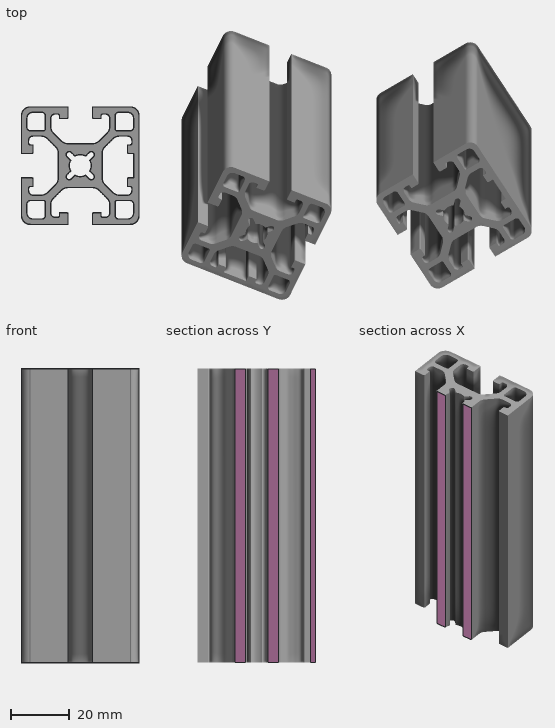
import cadquery as cq
import math

SIZE = 40.0
LENGTH = 100.0
HALF = SIZE / 2
CORNER_RADIUS = 3.0

MOUTH_HALF_WIDTH = 4.1
LIP_THICKNESS = 4.0
LIP_EDGE_RADIUS = 0.5
UNDERCUT_DEPTH = 2.5
UNDERCUT_HALF_WIDTH = 7.1
UNDERCUT_INNER_RADIUS = 0.5
UNDERCUT_OUTER_RADIUS = 1.4
CHANNEL_HALF_WIDTH = 10.0
CHANNEL_BEND_RADIUS = 3.0
CORE_HALF_WIDTH = 7.5
FLOOR_HALF_WIDTH = 5.5
CLOSED_WALL = 1.9

CHAMBER_WALL = 1.9
CHANNEL_WALL = 1.9
CHAMBER_OUTER_RADIUS = 2.0
CHAMBER_SIDE_RADIUS = 1.1
CHAMBER_INNER_RADIUS = 0.5

BORE_RADIUS = 3.7
GROOVE_WIDTH = 2.0
GROOVE_REACH = 4.75

OPEN_SLOT_ANGLES = (90, 180, 270)
CLOSED_SLOT_ANGLE = 0
CHAMBER_TURNS = (0, 90, 180, 270)
GROOVE_ANGLES = (45, 135)


def step_towards(start, end, distance):
    """Point at the given distance from start along the line to end."""
    ratio = distance / math.dist(start, end)
    return tuple(a + (b - a) * ratio for a, b in zip(start, end))


def rounded_prism(corners):
    """Full-length prism over a closed outline of (x, y, corner radius); radius 0 is sharp."""
    outline = None
    for index, (x, y, radius) in enumerate(corners):
        corner = (x, y)
        before = corners[index - 1][:2]
        after = corners[(index + 1) % len(corners)][:2]
        to_before = math.atan2(before[1] - y, before[0] - x)
        to_after = math.atan2(after[1] - y, after[0] - x)
        half_angle = abs(math.remainder(to_after - to_before, math.tau)) / 2
        tangent_length = radius / math.tan(half_angle)
        arc_start = step_towards(corner, before, tangent_length)
        arc_end = step_towards(corner, after, tangent_length)
        if outline is None:
            outline = cq.Workplane("XY").moveTo(*arc_start)
        else:
            outline = outline.lineTo(*arc_start)
        if radius > 0:
            chord_middle = tuple((a + b) / 2 for a, b in zip(arc_start, arc_end))
            arc_height = radius * (1 - math.sin(half_angle))
            arc_middle = step_towards(chord_middle, corner, arc_height)
            outline = outline.threePointArc(arc_middle, arc_end)
    return outline.close().extrude(LENGTH)


def slot_cutter(mouth_x):
    """T-slot opening towards +X, with its mouth ending at mouth_x."""
    lip_x = HALF - LIP_THICKNESS
    undercut_x = HALF - UNDERCUT_DEPTH
    bend_x = CORE_HALF_WIDTH + CHANNEL_HALF_WIDTH - FLOOR_HALF_WIDTH
    upper_half = [
        (mouth_x, MOUTH_HALF_WIDTH, 0),
        (lip_x, MOUTH_HALF_WIDTH, LIP_EDGE_RADIUS),
        (lip_x, UNDERCUT_HALF_WIDTH, 0),
        (undercut_x, UNDERCUT_HALF_WIDTH, UNDERCUT_INNER_RADIUS),
        (undercut_x, CHANNEL_HALF_WIDTH, UNDERCUT_OUTER_RADIUS),
        (bend_x, CHANNEL_HALF_WIDTH, CHANNEL_BEND_RADIUS),
        (CORE_HALF_WIDTH, FLOOR_HALF_WIDTH, CHANNEL_BEND_RADIUS),
    ]
    lower_half = [(x, -y, radius) for x, y, radius in reversed(upper_half)]
    return rounded_prism(upper_half + lower_half)


def chamber_cutter():
    """Hollow chamber of the +X +Y corner."""
    inner = CHANNEL_HALF_WIDTH + CHANNEL_WALL
    outer = HALF - CHAMBER_WALL
    return rounded_prism([
        (inner, inner, CHAMBER_INNER_RADIUS),
        (outer, inner, CHAMBER_SIDE_RADIUS),
        (outer, outer, CHAMBER_OUTER_RADIUS),
        (inner, outer, CHAMBER_SIDE_RADIUS),
    ])


def bore_cutter():
    """Round bore crossed by two round-ended diagonal grooves."""
    end_radius = GROOVE_WIDTH / 2
    end_centre_distance = math.sqrt(2) * (GROOVE_REACH - end_radius)
    groove_length = 2 * (end_centre_distance + end_radius)
    cutter = cq.Workplane("XY").circle(BORE_RADIUS).extrude(LENGTH)
    for angle in GROOVE_ANGLES:
        groove = cq.Workplane("XY").slot2D(groove_length, GROOVE_WIDTH, angle).extrude(LENGTH)
        cutter = cutter.union(groove)
    return cutter


def turned(shape, angle):
    """Shape rotated about the profile axis."""
    return shape.rotate((0, 0, 0), (0, 0, 1), angle)


profile = cq.Workplane("XY").rect(SIZE, SIZE).extrude(LENGTH).edges("|Z").fillet(CORNER_RADIUS)
for slot_angle in OPEN_SLOT_ANGLES:
    profile = profile.cut(turned(slot_cutter(HALF), slot_angle))
profile = profile.cut(turned(slot_cutter(HALF - CLOSED_WALL), CLOSED_SLOT_ANGLE))
for chamber_turn in CHAMBER_TURNS:
    profile = profile.cut(turned(chamber_cutter(), chamber_turn))
result = profile.cut(bore_cutter())